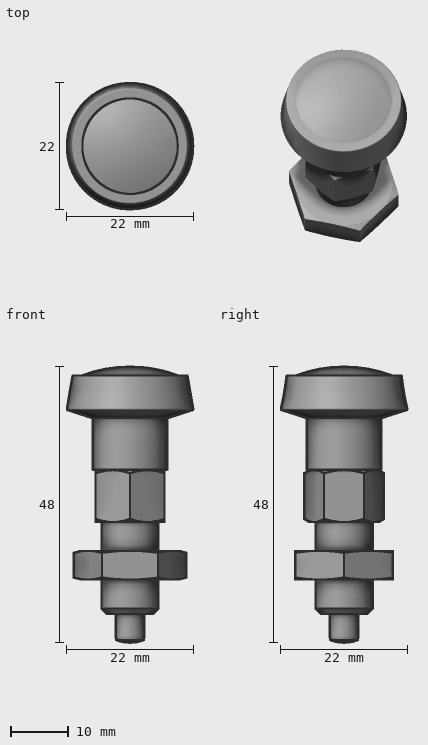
import cadquery as cq
import math

overall_height = 48
pin_chamfer_bottom = 0.5
pin_chamfer_top = 1.0
sleeve_bottom = 5.0
nut_bottom = 11.0
nut_height = 5.0
hex_bottom = 21.0
grip_bottom = 30.0
knob_bottom = 39.0
rim_height = 40.65
knob_shoulder = 46.45

pin_diameter = 5.0
pin_end_diameter = 4.8
sleeve_diameter = 10.0
sleeve_chamfer = 1.0
grip_diameter = 13.0
knob_diameter = 22.0
knob_top_diameter = 19.7
knob_taper_angle = 8
knob_underside_angle = 18
rim_rounding = 0.25
shoulder_rounding = 0.2
grip_chamfer = 0.15
dome_diameter = 16.6
hex_flats = 12.0
nut_flats = 17.0
hex_chamfer_angle = 30
nut_chamfer_angle = 15


def hex_prism(flats, bottom, height, chamfer_angle, turn):
    """Hexagon with both ends chamfered at the corners; turn=0 puts a corner on X."""
    corner_radius = flats / math.sqrt(3)
    flat_radius = flats / 2
    drop = (corner_radius - flat_radius) * math.tan(math.radians(chamfer_angle))
    prism = (
        cq.Workplane("XY")
        .polygon(6, 2 * corner_radius)
        .extrude(height)
        .rotate((0, 0, 0), (0, 0, 1), turn)
    )
    envelope = (
        cq.Workplane("XZ")
        .moveTo(0, 0)
        .lineTo(flat_radius, 0)
        .lineTo(corner_radius, drop)
        .lineTo(corner_radius, height - drop)
        .lineTo(flat_radius, height)
        .lineTo(0, height)
        .close()
        .revolve(360, (0, 0, 0), (0, 1, 0))
    )
    return prism.intersect(envelope).translate((0, 0, bottom))


def turned_body():
    """Domed pin and chamfered sleeve as one revolved profile."""
    pin_radius = pin_diameter / 2
    pin_end_radius = pin_end_diameter / 2
    sleeve_radius = sleeve_diameter / 2
    tip_sphere = (pin_end_radius**2 + pin_chamfer_bottom**2) / (2 * pin_chamfer_bottom)
    mid_radius = pin_end_radius / 2
    mid_height = tip_sphere - math.sqrt(tip_sphere**2 - mid_radius**2)
    return (
        cq.Workplane("XZ")
        .moveTo(0, 0)
        .threePointArc((mid_radius, mid_height), (pin_end_radius, pin_chamfer_bottom))
        .lineTo(pin_radius, pin_chamfer_top)
        .lineTo(pin_radius, sleeve_bottom)
        .lineTo(sleeve_radius - sleeve_chamfer, sleeve_bottom)
        .lineTo(sleeve_radius, sleeve_bottom + sleeve_chamfer)
        .lineTo(sleeve_radius, grip_bottom)
        .lineTo(0, grip_bottom)
        .close()
        .revolve(360, (0, 0, 0), (0, 1, 0))
    )


def point_on_circle(center, radius, angle):
    """Point at an angle in degrees, measured from the outward radial direction."""
    turn = math.radians(angle)
    return (center[0] + radius * math.cos(turn), center[1] + radius * math.sin(turn))


def knob():
    """Cylindrical grip under a tapered head with a shallow dome on top."""
    dome_radius = dome_diameter / 2
    dome_rise = overall_height - knob_shoulder
    dome_sphere = (dome_radius**2 + dome_rise**2) / (2 * dome_rise)
    mid_radius = dome_radius / 2
    mid_height = overall_height - dome_sphere + math.sqrt(dome_sphere**2 - mid_radius**2)
    rim_center = (knob_diameter / 2 - rim_rounding, rim_height)
    shoulder_center = (knob_top_diameter / 2, knob_shoulder - shoulder_rounding)
    return (
        cq.Workplane("XZ")
        .moveTo(0, grip_bottom)
        .lineTo(grip_diameter / 2 - grip_chamfer, grip_bottom)
        .lineTo(grip_diameter / 2, grip_bottom + grip_chamfer)
        .lineTo(grip_diameter / 2, knob_bottom)
        .lineTo(*point_on_circle(rim_center, rim_rounding, knob_underside_angle - 90))
        .threePointArc(
            point_on_circle(rim_center, rim_rounding, 0),
            point_on_circle(rim_center, rim_rounding, knob_taper_angle),
        )
        .lineTo(*point_on_circle(shoulder_center, shoulder_rounding, knob_taper_angle))
        .threePointArc(
            point_on_circle(shoulder_center, shoulder_rounding, 45),
            point_on_circle(shoulder_center, shoulder_rounding, 90),
        )
        .lineTo(dome_radius, knob_shoulder)
        .threePointArc((mid_radius, mid_height), (0, overall_height))
        .close()
        .revolve(360, (0, 0, 0), (0, 1, 0))
    )


body_hex = hex_prism(hex_flats, hex_bottom, grip_bottom - hex_bottom, hex_chamfer_angle, 30)
lock_nut = hex_prism(nut_flats, nut_bottom, nut_height, nut_chamfer_angle, 0)
result = turned_body().union(body_hex).union(lock_nut).union(knob())